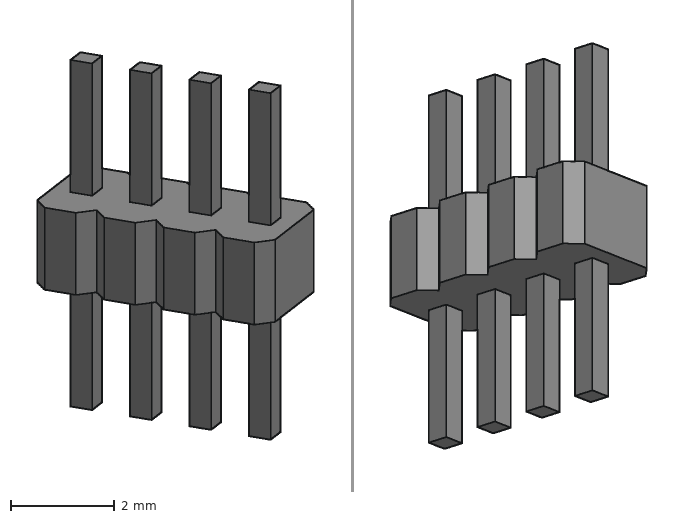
import cadquery as cq

pin_count = 4
header_length = 5.08
pitch = header_length / pin_count
body_depth = 2.4
body_height = 1.71
corner_chamfer = 0.3
pin_width = 0.46
pin_length = 7.2


def header_cell(x):
    """One insulator block with chamfered upright corners and its square pin."""
    block = (
        cq.Workplane("XY")
        .box(pitch, body_depth, body_height)
        .edges("|Z")
        .chamfer(corner_chamfer)
    )
    pin = cq.Workplane("XY").box(pin_width, pin_width, pin_length)
    return block.union(pin).translate((x, 0, 0))


first_x = -(pin_count - 1) * pitch / 2
result = header_cell(first_x)
for index in range(1, pin_count):
    result = result.union(header_cell(first_x + index * pitch))